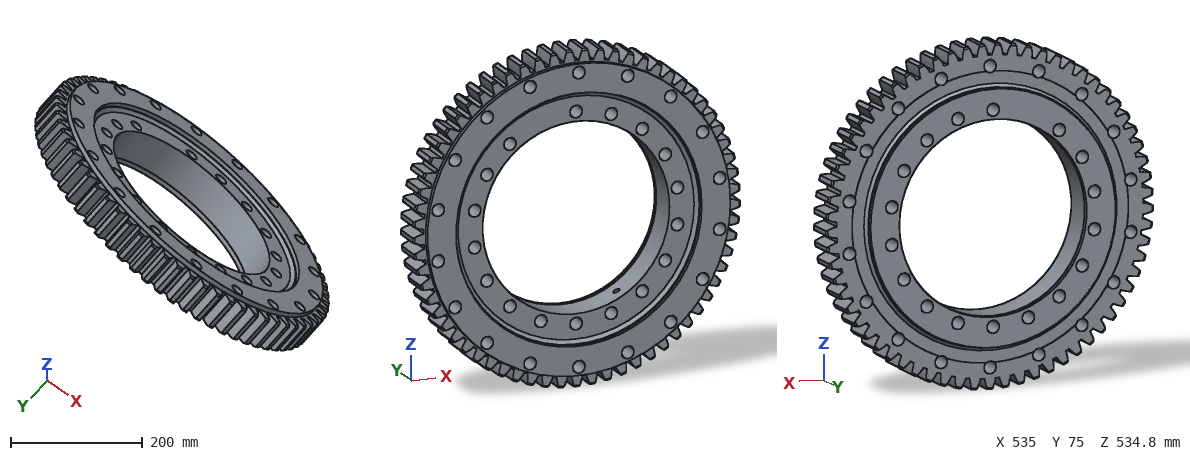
import cadquery as cq
import math


TIP_RADIUS = 267.5
TOTAL_WIDTH = 75.0

TOOTH_COUNT = 65
MODULE = 8.0
PITCH_RADIUS = MODULE * TOOTH_COUNT / 2
ROOT_RADIUS = 250.5
PRESSURE_ANGLE = math.radians(20)
TOOTH_FRONT = 8.0
TOOTH_BACK = 62.0
TIP_CHAMFER = 2.5

FRONT_RIM_RADIUS = 247.0
BACK_BOSS_RADIUS = 226.0
OUTER_BACK = 63.0
OUTER_BORE_RADIUS = 200.5

BORE_RADIUS = 152.5
REGISTER_RADIUS = 153.0
REGISTER_DEPTH = 8.0
INNER_FRONT = 12.0
INNER_OUTSIDE_RADIUS = 200.0

FRONT_SEAL_INNER_RADIUS = 192.5
BACK_SEAL_OUTER_RADIUS = 206.5
SEAL_RISE = 5.0
SEAL_LIP = 1.5
SEAL_DEPTH = 5.5
FRONT_SEAL_SEAT = INNER_FRONT + SEAL_DEPTH
BACK_SEAL_SEAT = OUTER_BACK - SEAL_DEPTH

BOLT_HOLE_DIAMETER = 20.0
HOLE_COUNT = 18
HOLE_ANGLES = [90 + i * 360 / HOLE_COUNT for i in range(HOLE_COUNT)]
OUTER_BOLT_RADIUS = 233.0
INNER_BOLT_RADIUS = 168.0
SKIPPED_INNER_ANGLE = 110
GREASE_HOLE_DIAMETER = 10.0
GREASE_HOLE_ANGLE = -60
GREASE_HOLE_Y = 38.5


def ring(points):
    """Revolve a closed (radius, y) outline about the Y axis."""
    return cq.Workplane("XY").polyline(points).close().revolve(360, (0, 0, 0), (0, 1, 0))


def polar(radius, angle):
    return (radius * math.cos(angle), radius * math.sin(angle))


def bolt_holes(circle_radius, angles):
    """Cylinders along Y, right through the full width."""
    places = [polar(circle_radius, math.radians(angle)) for angle in angles]
    return (
        cq.Workplane("XZ")
        .pushPoints(places)
        .circle(BOLT_HOLE_DIAMETER / 2)
        .extrude(-TOTAL_WIDTH)
    )


def involute(angle):
    return math.tan(angle) - angle


def half_tooth_angle(radius):
    """Half of the angle a tooth spans at a radius, for an involute flank."""
    base_radius = PITCH_RADIUS * math.cos(PRESSURE_ANGLE)
    local_angle = math.acos(min(1, base_radius / radius))
    return math.pi / (2 * TOOTH_COUNT) + involute(PRESSURE_ANGLE) - involute(local_angle)


def gear_outline():
    """Closed gear outline with one tooth centred on -Z."""
    pitch_angle = 2 * math.pi / TOOTH_COUNT
    flank_radii = [ROOT_RADIUS, (ROOT_RADIUS + TIP_RADIUS) / 2, TIP_RADIUS]
    first_middle = -math.pi / 2
    root_half_angle = half_tooth_angle(ROOT_RADIUS)
    outline = cq.Workplane("XZ").moveTo(*polar(ROOT_RADIUS, first_middle - root_half_angle))
    for tooth in range(TOOTH_COUNT):
        middle = first_middle + tooth * pitch_angle
        rising = [polar(r, middle - half_tooth_angle(r)) for r in flank_radii]
        falling = [polar(r, middle + half_tooth_angle(r)) for r in reversed(flank_radii)]
        gap_middle = polar(ROOT_RADIUS, middle + pitch_angle / 2)
        next_root = polar(ROOT_RADIUS, middle + pitch_angle - root_half_angle)
        outline = (
            outline.threePointArc(rising[1], rising[2])
            .threePointArc(polar(TIP_RADIUS, middle), falling[0])
            .threePointArc(falling[1], falling[2])
            .threePointArc(gap_middle, next_root)
        )
    return outline.close()


def make_teeth():
    """Toothed disc with both ends of every tooth tip chamfered."""
    chamfered_blank = ring([
        (0, TOOTH_FRONT),
        (TIP_RADIUS - TIP_CHAMFER, TOOTH_FRONT),
        (TIP_RADIUS, TOOTH_FRONT + TIP_CHAMFER),
        (TIP_RADIUS, TOOTH_BACK - TIP_CHAMFER),
        (TIP_RADIUS - TIP_CHAMFER, TOOTH_BACK),
        (0, TOOTH_BACK),
    ])
    return gear_outline().extrude(-TOOTH_BACK).intersect(chamfered_blank)


def make_outer_ring():
    """Toothed ring with a front rim, a low back boss and a seat for the back seal."""
    core = ring([
        (0, 0),
        (FRONT_RIM_RADIUS, 0),
        (FRONT_RIM_RADIUS, TOOTH_BACK),
        (BACK_BOSS_RADIUS, TOOTH_BACK),
        (BACK_BOSS_RADIUS, OUTER_BACK),
        (0, OUTER_BACK),
    ])
    bore = ring([
        (0, 0),
        (OUTER_BORE_RADIUS, 0),
        (OUTER_BORE_RADIUS, BACK_SEAL_SEAT),
        (BACK_SEAL_OUTER_RADIUS, BACK_SEAL_SEAT),
        (BACK_SEAL_OUTER_RADIUS, OUTER_BACK),
        (0, OUTER_BACK),
    ])
    return make_teeth().union(core).cut(bore).cut(bolt_holes(OUTER_BOLT_RADIUS, HOLE_ANGLES))


def grease_hole():
    """Radial cylinder from the axis outwards, through the wall of the inner ring."""
    return (
        cq.Workplane("XY")
        .center(0, GREASE_HOLE_Y)
        .circle(GREASE_HOLE_DIAMETER / 2)
        .extrude(TIP_RADIUS)
        .rotate((0, 0, 0), (0, 1, 0), 90 - GREASE_HOLE_ANGLE)
    )


def make_inner_ring():
    """Plain ring with a seat for the front seal and a shallow register at the back of its bore."""
    register_front = TOTAL_WIDTH - REGISTER_DEPTH
    body = ring([
        (BORE_RADIUS, INNER_FRONT),
        (FRONT_SEAL_INNER_RADIUS, INNER_FRONT),
        (FRONT_SEAL_INNER_RADIUS, FRONT_SEAL_SEAT),
        (INNER_OUTSIDE_RADIUS, FRONT_SEAL_SEAT),
        (INNER_OUTSIDE_RADIUS, TOTAL_WIDTH),
        (REGISTER_RADIUS, TOTAL_WIDTH),
        (REGISTER_RADIUS, register_front),
        (BORE_RADIUS, register_front),
    ])
    angles = [angle for angle in HOLE_ANGLES if angle != SKIPPED_INNER_ANGLE]
    return body.cut(bolt_holes(INNER_BOLT_RADIUS, angles)).cut(grease_hole())


def make_front_seal():
    """Seal between the rings at the front, with a cone that widens towards -Y."""
    lip_front = INNER_FRONT - SEAL_RISE
    return ring([
        (FRONT_SEAL_INNER_RADIUS, INNER_FRONT),
        (OUTER_BORE_RADIUS - SEAL_LIP, lip_front),
        (OUTER_BORE_RADIUS, lip_front),
        (OUTER_BORE_RADIUS, FRONT_SEAL_SEAT),
        (FRONT_SEAL_INNER_RADIUS, FRONT_SEAL_SEAT),
    ])


def make_back_seal():
    """Seal between the rings at the back, with a cone that narrows towards +Y."""
    lip_back = OUTER_BACK + SEAL_RISE
    return ring([
        (INNER_OUTSIDE_RADIUS, BACK_SEAL_SEAT),
        (BACK_SEAL_OUTER_RADIUS, BACK_SEAL_SEAT),
        (BACK_SEAL_OUTER_RADIUS, OUTER_BACK),
        (INNER_OUTSIDE_RADIUS + SEAL_LIP, lip_back),
        (INNER_OUTSIDE_RADIUS, lip_back),
    ])


outer_ring = make_outer_ring()
inner_ring = make_inner_ring()
front_seal = make_front_seal()
back_seal = make_back_seal()

result = cq.Compound.makeCompound([
    outer_ring.val(),
    inner_ring.val(),
    front_seal.val(),
    back_seal.val(),
])